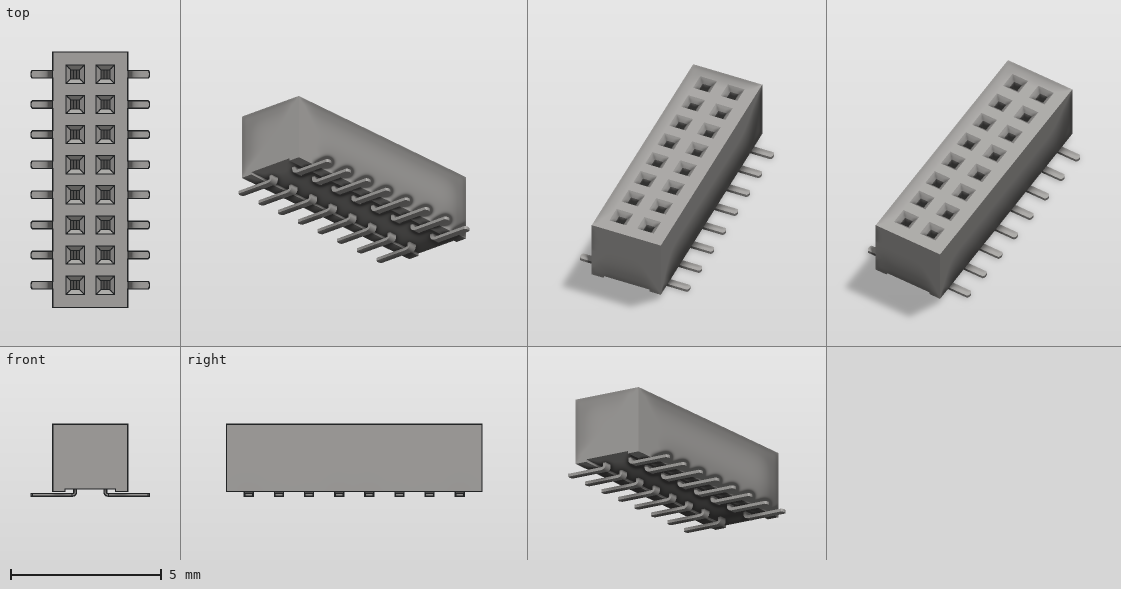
import cadquery as cq

body_length = 8.5
body_width = 2.5
overall_height = 2.4
contact_span = 3.95

row_count = 8
end_margin = 0.75
pitch = (body_length - 2 * end_margin) / (row_count - 1)

foot_bottom = 0.15
recess_ceiling = 0.24
recess_width = 1.67

opening_size = 0.6
shaft_size = 0.3
funnel_depth = (opening_size - shaft_size) / 2
shaft_depth = 1.8

metal_thickness = 0.1
contact_width = 0.31
tail_width = 0.255
bend_radius = 0.15
tip_bulge = 0.05
blade_top = 1.19

column_offset = pitch / 2
shaft_floor = overall_height - shaft_depth
row_positions = [(row - (row_count - 1) / 2) * pitch for row in range(row_count)]


def make_housing():
    """Rectangular block with a recess along the middle of its underside."""
    block = cq.Workplane("XY").workplane(offset=foot_bottom).rect(body_width, body_length)
    block = block.extrude(overall_height - foot_bottom)
    recess = cq.Workplane("XY").workplane(offset=foot_bottom).rect(recess_width, body_length)
    return block.cut(recess.extrude(recess_ceiling - foot_bottom))


def make_socket():
    """Cutter for one opening: a square shaft below a 45 degree lead-in funnel."""
    shaft = cq.Workplane("XY").workplane(offset=shaft_floor).rect(shaft_size, shaft_size)
    shaft = shaft.extrude(shaft_depth)
    funnel = cq.Workplane("XY").workplane(offset=overall_height).rect(opening_size, opening_size)
    funnel = funnel.workplane(offset=-funnel_depth).rect(shaft_size, shaft_size).loft(ruled=True)
    return shaft.union(funnel)


def make_contact():
    """Contact of the +X column: upright blade, rounded bend and a narrower round-tipped tail."""
    inner_x = column_offset - metal_thickness / 2
    outer_x = column_offset + metal_thickness / 2
    bend_end_x = inner_x + bend_radius
    tip_x = contact_span / 2
    shoulder_x = tip_x - tip_bulge

    wide_part = (
        cq.Workplane("XZ")
        .moveTo(inner_x, blade_top)
        .lineTo(inner_x, bend_radius)
        .radiusArc((bend_end_x, 0), -bend_radius)
        .lineTo(bend_end_x, metal_thickness)
        .lineTo(outer_x, metal_thickness)
        .lineTo(outer_x, blade_top)
        .close()
        .extrude(contact_width / 2, both=True)
    )
    tail = (
        cq.Workplane("XY")
        .moveTo(bend_end_x, -tail_width / 2)
        .lineTo(shoulder_x, -tail_width / 2)
        .threePointArc((tip_x, 0), (shoulder_x, tail_width / 2))
        .lineTo(bend_end_x, tail_width / 2)
        .close()
        .extrude(metal_thickness)
    )
    return wide_part.union(tail)


socket = make_socket()
right_contact = make_contact()
contacts = {-1: right_contact.mirror("YZ"), 1: right_contact}

result = make_housing()
for row_y in row_positions:
    for side in contacts:
        result = result.cut(socket.translate((side * column_offset, row_y, 0)))

for row_y in row_positions:
    for contact in contacts.values():
        result = result.union(contact.translate((0, row_y, 0)))